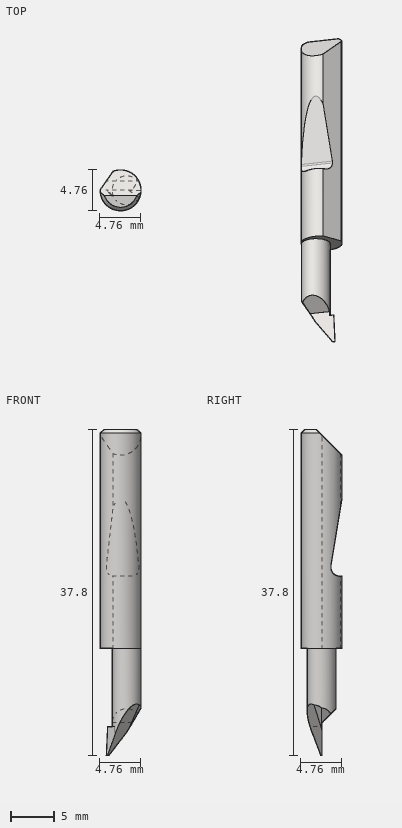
import cadquery as cq
import math

total_length = 37.75
shank_radius = 2.38
shank_bottom = 12.4
shank_chamfer = 0.4

flat_angle = 55
flat_start_y = 0.055

end_slope_sum = 37.15

notch_top = 29.75
notch_bottom = 20.75
notch_floor_y = 1.1
notch_floor_z = 21.97
notch_radius = 1.0

neck_diameter = 3.35
neck_radius = neck_diameter / 2
neck_x = shank_radius - neck_radius

rake_y = 0.055
blade_height = 3.32
blade_left_bottom = -1.65
blade_left_top = -1.5
rake_runout_z = 3.78

nose_x = -1.4
relief_slope_x = 1.3
relief_slope_y = -1.4

side_relief_z = 5.47
side_slope_x = 1.7
side_slope_y = -0.85

cutter_size = 4 * total_length


def half_space(origin, normal):
    """Large block filling the side of a plane that its normal points into."""
    plane = cq.Plane(origin=origin, normal=normal)
    return cq.Workplane(plane).rect(cutter_size, cutter_size).extrude(cutter_size)


def below_slope(origin, slope_x, slope_y):
    """Block below the plane rising by the given slopes along X and Y."""
    return half_space(origin, (slope_x, slope_y, -1))


def make_shank():
    shank = (
        cq.Workplane("XY", origin=(0, 0, shank_bottom))
        .circle(shank_radius)
        .extrude(total_length - shank_bottom)
        .faces(">Z")
        .chamfer(shank_chamfer)
    )
    angle = math.radians(flat_angle)
    flat_cut = half_space((-shank_radius, flat_start_y, 0), (-math.sin(angle), math.cos(angle), 0))
    end_cut = half_space((0, 0, end_slope_sum), (0, 1, 1))
    return shank.cut(flat_cut).cut(end_cut).cut(make_notch())


def make_notch():
    arc_center_y = notch_floor_y + notch_radius
    arc_center_z = notch_bottom + notch_radius
    arc_offset = notch_radius * math.sqrt(0.5)
    outside_y = 2 * shank_radius
    return (
        cq.Workplane("YZ")
        .moveTo(outside_y, notch_top)
        .lineTo(shank_radius, notch_top)
        .lineTo(notch_floor_y, notch_floor_z)
        .lineTo(notch_floor_y, arc_center_z)
        .threePointArc(
            (arc_center_y - arc_offset, arc_center_z - arc_offset),
            (arc_center_y, notch_bottom),
        )
        .lineTo(outside_y, notch_bottom)
        .close()
        .extrude(shank_radius, both=True)
    )


def make_blade():
    """Wedge whose 45 degree side runs from the rake face to touch the neck."""
    tangent_offset = neck_radius * math.sqrt(0.5)
    tangent_point = (neck_x - tangent_offset, -tangent_offset)
    rake_point = (neck_x, rake_y)
    return (
        cq.Workplane("XY")
        .polyline([(blade_left_bottom, rake_y), tangent_point, rake_point])
        .close()
        .workplane(offset=blade_height)
        .polyline([(blade_left_top, rake_y), tangent_point, rake_point])
        .close()
        .loft(ruled=True)
    )


def make_rake_clearance():
    """Space behind the rake face, closed above by a 45 degree runout."""
    runout_end = 2 * shank_radius
    return (
        cq.Workplane("YZ")
        .polyline([
            (rake_y, 0),
            (rake_y, rake_runout_z),
            (runout_end, rake_runout_z + runout_end - rake_y),
            (runout_end, 0),
        ])
        .close()
        .extrude(2 * shank_radius, both=True)
    )


def make_neck_and_tip():
    neck = cq.Workplane("XY").center(neck_x, 0).circle(neck_radius).extrude(shank_bottom)
    front_relief = below_slope((nose_x, 0, 0), relief_slope_x, relief_slope_y)
    side_relief = below_slope((shank_radius, 0, side_relief_z), side_slope_x, side_slope_y)
    back_relief = below_slope((shank_radius, 0, side_relief_z), side_slope_x, 0)
    return (
        neck.union(make_blade())
        .cut(make_rake_clearance())
        .cut(front_relief)
        .cut(side_relief)
        .cut(back_relief)
    )


result = make_shank().union(make_neck_and_tip())